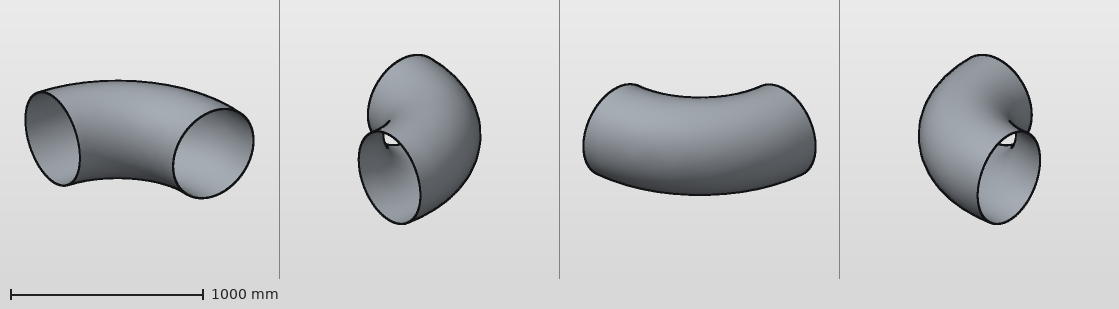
import cadquery as cq

overall_length = 854.0
outer_diameter = 508.0
wall_thickness = 4.0
bend_angle = 90

outer_radius = outer_diameter / 2
inner_radius = outer_radius - wall_thickness
bend_radius = overall_length - outer_radius

ring = cq.Workplane("XZ").circle(outer_radius).circle(inner_radius)

result = ring.revolve(bend_angle, (bend_radius, 0, 0), (bend_radius, -1, 0))